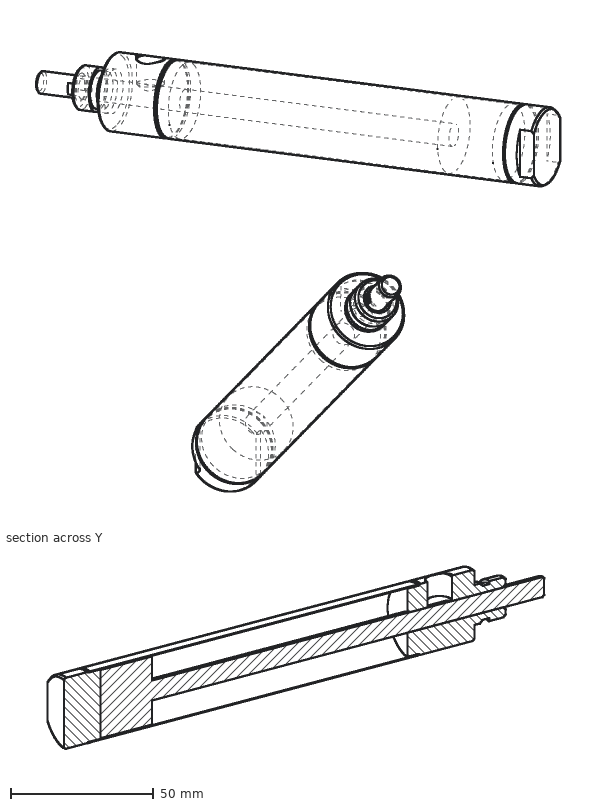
import cadquery as cq
import math

TOTAL_LENGTH = 196.8
OUTER_RADIUS = 28.1 / 2
TUBE_WALL = 0.5
BORE_RADIUS = OUTER_RADIUS - TUBE_WALL

ROD_RADIUS = 8.0 / 2
ROD_TIP_CHAMFER = 0.8
FLATS_START = 12.5
FLATS_WIDTH = 6.9

NOSE_START = 15.7
NOSE_RADIUS = 16.0 / 2
NOSE_CHAMFER = 1.0
NOSE_MOUTH_CHAMFER = 1.0
RELIEF_START = 22.6
RELIEF_END = 26.4
RELIEF_DEPTH = 1.2

HEAD_START = 28.5
HEAD_CHAMFER = 0.8
HEAD_END = 51.4
PLUG_LENGTH = 4.7

PORT_X = 43.0
PORT_RADIUS = 5.0
PORT_CHAMFER = 0.4
PORT_TIP_ANGLE = 90.0
PORT_TIP_Z = -0.2

CAP_START = 186.6
CAP_CHAMFER_LENGTH = 1.0
CAP_CHAMFER_DEPTH = 0.5
CAP_FLATS_START = 191.5
CAP_FLATS_WIDTH = 22.2

FRONT_JOINT_CHAMFER = 0.5
REAR_JOINT_CHAMFER = 0.4
JOINT_DEPTH = 0.3

PISTON_LENGTH = 21.3
PISTON_END = CAP_START - PLUG_LENGTH
PISTON_START = PISTON_END - PISTON_LENGTH


def revolve_about_x(points):
    """Turn an outline of (x, radius) points around the X axis."""
    return cq.Workplane("XZ").polyline(points).close().revolve(360, (0, 0), (1, 0))


def cut_side_flats(body, start, end, width):
    """Trim a body to the given width in Y between two X places, leaving a flat on each side."""
    length = end - start
    trim_depth = OUTER_RADIUS
    for side in (-1, 1):
        trim = cq.Workplane("XY").box(length, trim_depth, 2 * OUTER_RADIUS)
        body = body.cut(trim.translate((start + length / 2, side * (width + trim_depth) / 2, 0)))
    return body


def make_rod():
    """Piston rod with wrench flats behind its tip, in one piece with the piston."""
    rod = revolve_about_x([
        (0, 0),
        (0, ROD_RADIUS - ROD_TIP_CHAMFER),
        (ROD_TIP_CHAMFER, ROD_RADIUS),
        (PISTON_START, ROD_RADIUS),
        (PISTON_START, BORE_RADIUS),
        (PISTON_END, BORE_RADIUS),
        (PISTON_END, 0),
    ])
    return cut_side_flats(rod, FLATS_START, NOSE_START, FLATS_WIDTH)


def port_cutter():
    """Vertical drilled port: chamfered mouth, straight wall and conical end."""
    half_angle = math.radians(PORT_TIP_ANGLE / 2)
    shoulder_z = PORT_TIP_Z + PORT_RADIUS / math.tan(half_angle)
    mouth_z = OUTER_RADIUS
    profile = [
        (0, PORT_TIP_Z),
        (PORT_RADIUS, shoulder_z),
        (PORT_RADIUS, mouth_z - PORT_CHAMFER),
        (PORT_RADIUS + PORT_CHAMFER, mouth_z),
        (0, mouth_z),
    ]
    cutter = cq.Workplane("XZ").polyline(profile).close().revolve(360, (0, 0), (0, 1))
    return cutter.translate((PORT_X, 0, 0))


def make_head():
    """Front head: nose with a relief groove, chamfered barrel and a plug inside the tube."""
    relief_radius = NOSE_RADIUS - RELIEF_DEPTH
    plug_end = HEAD_END + PLUG_LENGTH
    head = revolve_about_x([
        (NOSE_START + NOSE_MOUTH_CHAMFER, ROD_RADIUS),
        (NOSE_START, ROD_RADIUS + NOSE_MOUTH_CHAMFER),
        (NOSE_START, NOSE_RADIUS - NOSE_CHAMFER),
        (NOSE_START + NOSE_CHAMFER, NOSE_RADIUS),
        (RELIEF_START, NOSE_RADIUS),
        (RELIEF_START, relief_radius),
        (RELIEF_END - RELIEF_DEPTH, relief_radius),
        (RELIEF_END, NOSE_RADIUS),
        (HEAD_START, NOSE_RADIUS),
        (HEAD_START, OUTER_RADIUS - HEAD_CHAMFER),
        (HEAD_START + HEAD_CHAMFER, OUTER_RADIUS),
        (HEAD_END - FRONT_JOINT_CHAMFER, OUTER_RADIUS),
        (HEAD_END, OUTER_RADIUS - JOINT_DEPTH),
        (HEAD_END, BORE_RADIUS),
        (plug_end, BORE_RADIUS),
        (plug_end, ROD_RADIUS),
    ])
    return head.cut(port_cutter())


def make_tube():
    """Thin tube between the head and the cap, closed by their plugs."""
    return revolve_about_x([
        (HEAD_END, BORE_RADIUS),
        (HEAD_END, OUTER_RADIUS - JOINT_DEPTH),
        (HEAD_END + FRONT_JOINT_CHAMFER, OUTER_RADIUS),
        (CAP_START - REAR_JOINT_CHAMFER, OUTER_RADIUS),
        (CAP_START, OUTER_RADIUS - JOINT_DEPTH),
        (CAP_START, BORE_RADIUS),
    ])


def make_cap():
    """Rear cap: plug inside the tube, chamfered end and wrench flats."""
    cap = revolve_about_x([
        (PISTON_END, 0),
        (PISTON_END, BORE_RADIUS),
        (CAP_START, BORE_RADIUS),
        (CAP_START, OUTER_RADIUS - JOINT_DEPTH),
        (CAP_START + REAR_JOINT_CHAMFER, OUTER_RADIUS),
        (TOTAL_LENGTH - CAP_CHAMFER_LENGTH, OUTER_RADIUS),
        (TOTAL_LENGTH, OUTER_RADIUS - CAP_CHAMFER_DEPTH),
        (TOTAL_LENGTH, 0),
    ])
    return cut_side_flats(cap, CAP_FLATS_START, TOTAL_LENGTH, CAP_FLATS_WIDTH)


rod = make_rod().solids()
head = make_head().solids()
tube = make_tube().solids()
cap = make_cap().solids()

result = cq.Compound.makeCompound([rod.val(), head.val(), tube.val(), cap.val()])